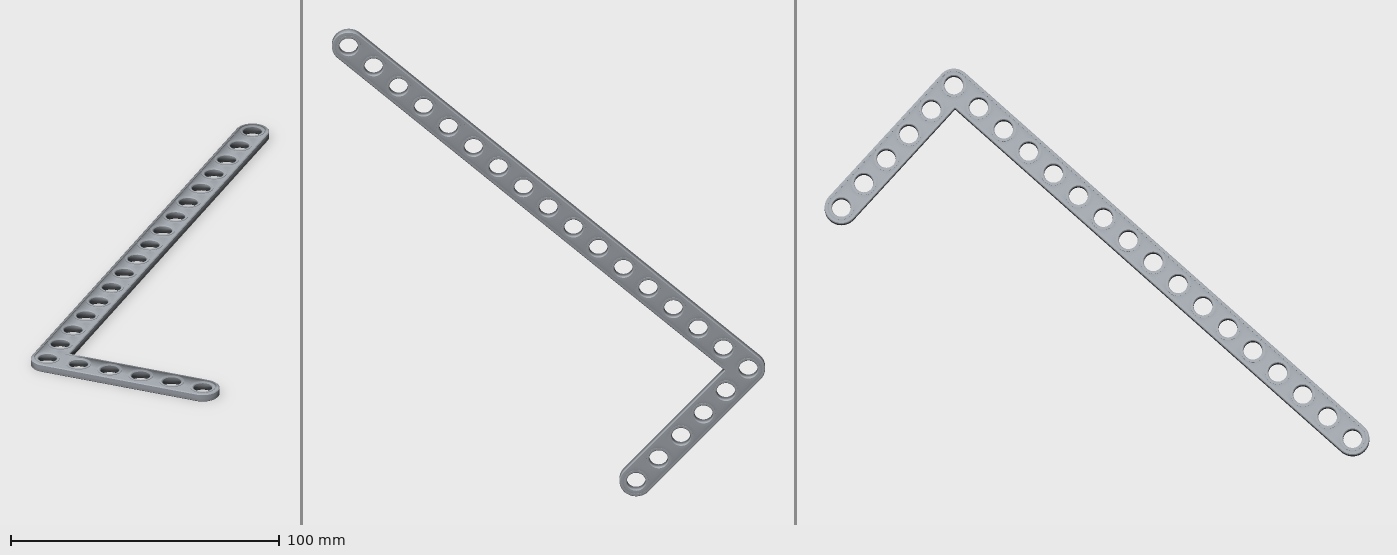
import cadquery as cq
import math

pitch = 12.5
holes_along_x = 6
holes_along_y = 17
thickness = pitch / 4
hole_diameter = 7.0
ring_diameter = 9.2
recess_depth = 0.2
edge_chamfer = 0.3

end_radius = pitch / 2
arm_x = (holes_along_x - 1) * pitch
arm_y = (holes_along_y - 1) * pitch
rim_width = (ring_diameter - hole_diameter) / 2


def make_angle(half_width, bottom, height):
    """L-shaped slab with round arm ends, its corner hole on the Z axis."""
    diagonal = half_width * math.sqrt(0.5)
    return (
        cq.Workplane("XY", origin=(0, 0, bottom))
        .moveTo(0, -half_width)
        .lineTo(arm_x, -half_width)
        .threePointArc((arm_x + half_width, 0), (arm_x, half_width))
        .lineTo(half_width, half_width)
        .lineTo(half_width, arm_y)
        .threePointArc((0, arm_y + half_width), (-half_width, arm_y))
        .lineTo(-half_width, 0)
        .threePointArc((-diagonal, -diagonal), (0, -half_width))
        .close()
        .extrude(height)
    )


def make_cylinders(diameter, bottom, height):
    """One cylinder at every hole centre; the two arms share the corner one."""
    row_x = [(i * pitch, 0) for i in range(holes_along_x)]
    row_y = [(0, i * pitch) for i in range(1, holes_along_y)]
    return (
        cq.Workplane("XY", origin=(0, 0, bottom))
        .pushPoints(row_x + row_y)
        .circle(diameter / 2)
        .extrude(height)
    )


def make_drilled_plate():
    """Full-thickness plate with plain through holes and both faces chamfered."""
    plate = make_angle(end_radius, 0, thickness)
    drilled = plate.cut(make_cylinders(hole_diameter, 0, thickness))
    return drilled.faces("|Z").edges().chamfer(edge_chamfer)


def make_recess(bottom):
    """Sunken field inside the rim, with the rings round the holes left standing."""
    field = make_angle(end_radius - rim_width, bottom, recess_depth)
    return field.cut(make_cylinders(ring_diameter, bottom, recess_depth))


result = make_drilled_plate()
for recess_bottom in (0, thickness - recess_depth):
    result = result.cut(make_recess(recess_bottom))